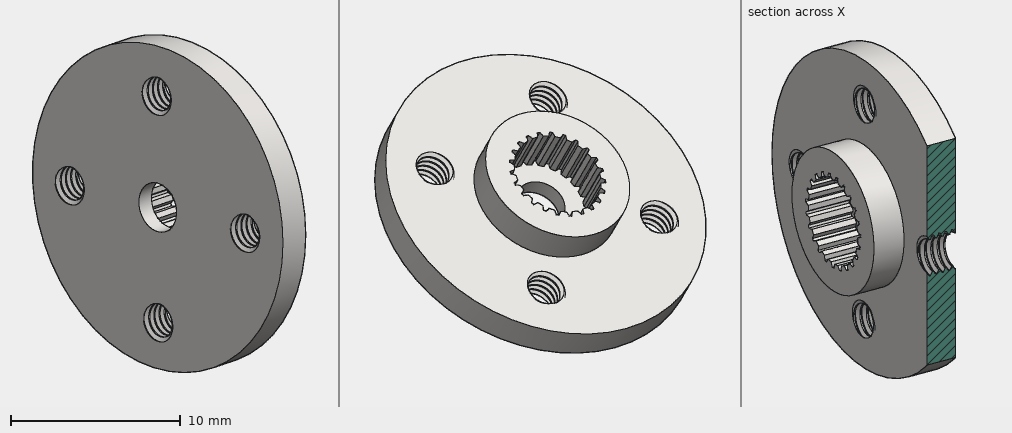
import math

import cadquery as cq

disc_diameter = 20.0
disc_thickness = 2.0
boss_diameter = 9.0
total_length = 4.1

bore_diameter = 3.0
bore_depth = 1.1

spline_teeth = 23
spline_root_diameter = 6.0
spline_tip_diameter = 5.42
spline_root_share = 0.2
spline_tip_share = 0.47
spline_first_root_angle = -90.0

thread_hole_count = 4
thread_hole_circle_radius = 7.0
thread_hole_turn = 0.5
thread_minor_diameter = 2.08
thread_major_diameter = 2.58
thread_pitch = 0.45
thread_root_flat = thread_pitch / 8
thread_flank_angle = 30.0
thread_start_angle = -90.0
blank_diameter = 2 * thread_major_diameter
run_out_turns = 2
overcut = 0.01


def polar(radius, degrees):
    """Point at the given radius and angle from the X axis."""
    angle = math.radians(degrees)
    return radius * math.cos(angle), radius * math.sin(angle)


def cylinder(diameter, start, end):
    """Round bar along +Y between two Y positions."""
    bar = cq.Workplane("XZ", origin=(0, start, 0)).circle(diameter / 2)
    return bar.extrude(start - end)


def spline_socket():
    """Toothed prism that fills the socket from the bore to the end of the boss."""
    tooth_angle = 360 / spline_teeth
    root_half = spline_root_share * tooth_angle / 2
    tip_half = spline_tip_share * tooth_angle / 2
    points = []
    for tooth in range(spline_teeth):
        root_middle = spline_first_root_angle + tooth * tooth_angle
        tip_middle = root_middle + tooth_angle / 2
        points.append(polar(spline_root_diameter / 2, root_middle - root_half))
        points.append(polar(spline_root_diameter / 2, root_middle + root_half))
        points.append(polar(spline_tip_diameter / 2, tip_middle - tip_half))
        points.append(polar(spline_tip_diameter / 2, tip_middle + tip_half))
    profile = cq.Workplane("XZ", origin=(0, bore_depth, 0)).polyline(points).close()
    return profile.extrude(bore_depth - total_length)


def thread_groove():
    """Helical groove along +Z that runs past both faces of the disc."""
    run_out = run_out_turns * thread_pitch
    inner = thread_minor_diameter / 2 - overcut
    outer = thread_major_diameter / 2
    root_half = thread_root_flat / 2
    mouth_half = root_half + (outer - inner) * math.tan(math.radians(thread_flank_angle))
    helix = cq.Wire.makeHelix(thread_pitch, disc_thickness + 2 * run_out, inner)
    profile = cq.Workplane("XZ").polyline(
        [(inner, -mouth_half), (outer, -root_half), (outer, root_half), (inner, mouth_half)]
    ).close()
    return profile.sweep(cq.Workplane(helix), isFrenet=True).translate((0, 0, -run_out))


def threaded_hole_groove():
    """Thread groove laid along +Y, its root meeting Y = 0 at the start angle."""
    upright = thread_groove().rotate((0, 0, 0), (0, 0, 1), -thread_start_angle)
    return upright.rotate((0, 0, 0), (1, 0, 0), -90)


def threaded_hole_cutter():
    """Solid with the shape of one threaded hole, from face to face of the disc."""
    blank = cylinder(blank_diameter, 0, disc_thickness)
    drill = cylinder(thread_minor_diameter, 0, disc_thickness)
    return blank.cut(blank.cut(threaded_hole_groove()).cut(drill))


disc = cylinder(disc_diameter, 0, disc_thickness)
threaded_hole = threaded_hole_cutter()
for hole in range(thread_hole_count):
    angle = thread_hole_turn + hole * 360 / thread_hole_count
    x, z = polar(thread_hole_circle_radius, angle)
    disc = disc.cut(threaded_hole.translate((x, 0, z)))

boss = cylinder(boss_diameter, disc_thickness, total_length)
bore = cylinder(bore_diameter, 0, total_length)
result = disc.union(boss).cut(bore).cut(spline_socket())